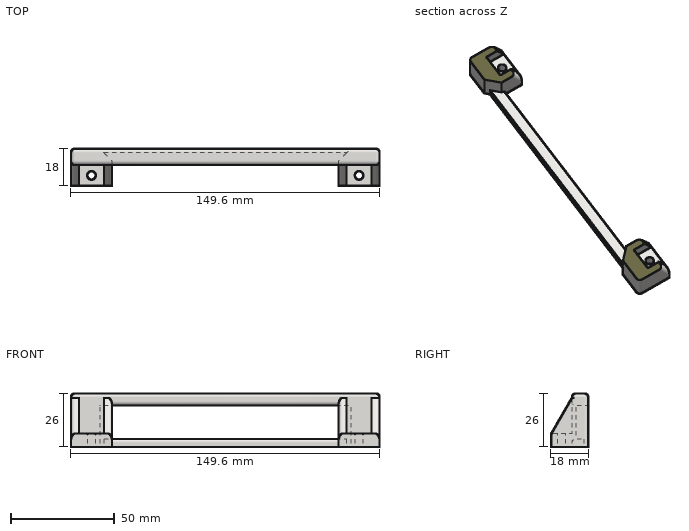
import cadquery as cq
import math

length = 149.6
depth = 18.0
height = 26.0

post_width = 20.0
wall = 4.0
foot_height = 6.5
slope_angle = 60.0
hole_diameter = 4.0

grip_depth = 8.0
grip_height = 6.0
rail_depth = 6.0
rail_height = 4.0

edge_radius = 2.0
back_bevel = 6.0

post_center = (length - post_width) / 2
grip_bottom = height - grip_height
slope_rise = math.tan(math.radians(slope_angle))
pocket_width = post_width - 2 * wall
pocket_depth = depth - grip_depth
pocket_center_y = -(grip_depth + depth) / 2


def box_at(x_size, y_size, z_size, center_x, front_y, bottom_z):
    """Box placed by its middle in X, its front face in Y and its underside in Z."""
    block = cq.Workplane("XY").box(x_size, y_size, z_size, centered=(True, False, False))
    return block.translate((center_x, front_y, bottom_z))


def make_post(side):
    """Solid post at one end (side is -1 or +1).

    The inner side is rounded where it meets the slope and beveled where it meets the back.
    """
    slope_run = (height - foot_height) / slope_rise
    profile = [
        (0, 0),
        (-depth, 0),
        (-depth, foot_height),
        (-depth + slope_run, height),
        (0, height),
    ]
    post = cq.Workplane("YZ").polyline(profile).close().extrude(post_width / 2, both=True)
    inner_side = "<X" if side > 0 else ">X"
    post = post.faces(inner_side).edges("not(|Y or |Z)").fillet(edge_radius)
    post = post.faces(inner_side).edges("|Z and >Y").chamfer(back_bevel)
    return post.translate((side * post_center, 0, 0))


def make_grip():
    """Upper bar over the full length, its lower front edge rounded."""
    grip = box_at(length, grip_depth, grip_height, 0, -grip_depth, grip_bottom)
    return grip.edges("<Y and <Z").fillet(edge_radius)


def make_rail():
    """Lower bar reaching to the middle of each post, its upper front edge rounded."""
    rail = box_at(2 * post_center, rail_depth, rail_height, 0, -grip_depth, 0)
    return rail.edges("<Y and >Z").fillet(edge_radius)


def round_outside(body):
    """Round the top and both ends, leaving the feet sharp along the bottom and the front."""
    outer_edges = body.faces(">Z or <X or >X").edges("not(<Y or <Z)")
    return outer_edges.fillet(edge_radius)


def make_pocket(side):
    """Screw pocket open to the sloping front, with a through hole in its floor."""
    center_x = side * post_center
    pocket = box_at(pocket_width, pocket_depth, height, center_x, -depth, foot_height)
    hole = cq.Workplane("XY").center(center_x, pocket_center_y).circle(hole_diameter / 2).extrude(height)
    return pocket.union(hole)


body = make_grip().union(make_rail())
for side in (-1, 1):
    body = body.union(make_post(side))
result = round_outside(body.clean())
for side in (-1, 1):
    result = result.cut(make_pocket(side))